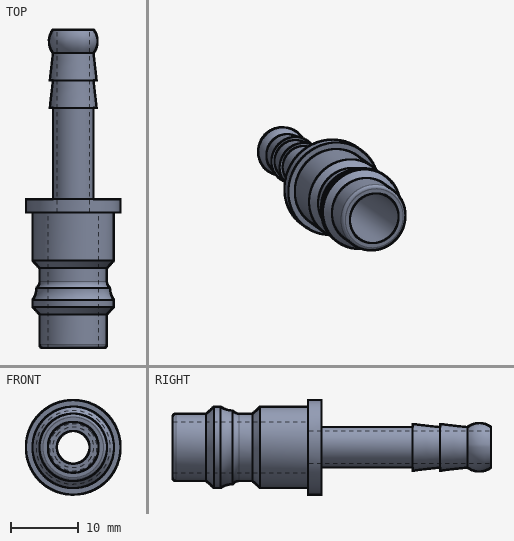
import cadquery as cq
import math

flange_radius = 7.0
body_radius = 6.0
neck_radius = 5.0
ridge_shoulder_radius = 5.45
stem_radius = 3.0
barb_radius = 3.5
bead_radius = 3.6
bead_end_radius = 3.0
bore_radius = 3.75
hole_radius = 2.4

total_length = 47.0
cone_length = 1.15
ridge_start = 5.0
ridge_crest_start = ridge_start + cone_length
ridge_crest_end = 7.1
ridge_shoulder = 8.9
ridge_end = 9.8
body_start = 11.8
flange_start = 19.98
flange_end = 22.0
bead_length = 3.5
barb_length = 4.05
barb_count = 2
bore_depth = flange_start

tip_round = 0.5

bead_start = total_length - bead_length
barbs_start = bead_start - barb_count * barb_length


def flare_midpoint(wide_radius, wide_station, narrow_radius, narrow_station):
    """Middle of a concave arc that runs parallel to the axis at its narrow end."""
    rise = wide_radius - narrow_radius
    run = narrow_station - wide_station
    arc_radius = (run**2 + rise**2) / (2 * rise)
    half_angle = math.asin(run / arc_radius) / 2
    return (
        narrow_radius + arc_radius * (1 - math.cos(half_angle)),
        narrow_station - arc_radius * math.sin(half_angle),
    )


def plug_profile(sketch):
    """Outline from the rounded tip to the rear face of the flange."""
    round_center_radius = neck_radius - tip_round
    round_mid = (
        round_center_radius + tip_round * math.sin(math.pi / 4),
        tip_round * (1 - math.cos(math.pi / 4)),
    )
    lower_flare_mid = flare_midpoint(body_radius, ridge_crest_end, ridge_shoulder_radius, ridge_shoulder)
    upper_flare_mid = flare_midpoint(ridge_shoulder_radius, ridge_shoulder, neck_radius, ridge_end)
    return (
        sketch.lineTo(round_center_radius, 0)
        .threePointArc(round_mid, (neck_radius, tip_round))
        .lineTo(neck_radius, ridge_start)
        .lineTo(body_radius, ridge_crest_start)
        .lineTo(body_radius, ridge_crest_end)
        .threePointArc(lower_flare_mid, (ridge_shoulder_radius, ridge_shoulder))
        .threePointArc(upper_flare_mid, (neck_radius, ridge_end))
        .lineTo(neck_radius, body_start)
        .lineTo(body_radius, body_start + cone_length)
        .lineTo(body_radius, flange_start)
        .lineTo(flange_radius, flange_start)
        .lineTo(flange_radius, flange_end)
    )


def hose_tail_profile(sketch):
    """Outline of the stem, the barbs and the rounded end bead."""
    sketch = sketch.lineTo(stem_radius, flange_end).lineTo(stem_radius, barbs_start)
    for index in range(barb_count):
        barb_start = barbs_start + index * barb_length
        sketch = (
            sketch.lineTo(barb_radius, barb_start)
            .lineTo(stem_radius, barb_start + barb_length)
        )
    bead_mid = (bead_radius, bead_start + bead_length / 2)
    return sketch.threePointArc(bead_mid, (bead_end_radius, total_length))


def stepped_bore(sketch):
    """Outline of the narrow through hole and the wider bore at the tip."""
    return (
        sketch.lineTo(hole_radius, total_length)
        .lineTo(hole_radius, bore_depth)
        .lineTo(bore_radius, bore_depth)
    )


profile = cq.Workplane("XY").moveTo(bore_radius, 0)
profile = plug_profile(profile)
profile = hose_tail_profile(profile)
profile = stepped_bore(profile)

result = profile.close().revolve(360, (0, 0, 0), (0, 1, 0))